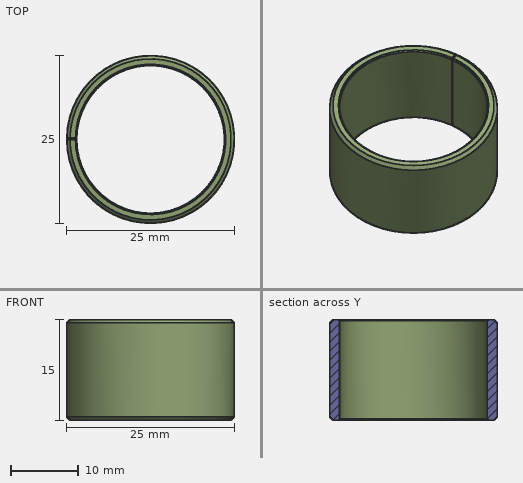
import cadquery as cq

outer_diameter = 25.0
wall = 1.5
length = 15.0
outer_chamfer = 0.5
inner_chamfer = 0.2
slit_width = 0.2

outer_radius = outer_diameter / 2
inner_radius = outer_radius - wall


def bush_body():
    """Ring with chamfered outer and inner rims at both ends, centred on the origin."""
    half_length = length / 2
    profile = [
        (inner_radius, half_length - inner_chamfer),
        (inner_radius + inner_chamfer, half_length),
        (outer_radius - outer_chamfer, half_length),
        (outer_radius, half_length - outer_chamfer),
        (outer_radius, -half_length + outer_chamfer),
        (outer_radius - outer_chamfer, -half_length),
        (inner_radius + inner_chamfer, -half_length),
        (inner_radius, -half_length + inner_chamfer),
    ]
    ring = cq.Workplane("XZ").polyline(profile).close().revolve(360, (0, 0), (0, 1))
    return ring.rotate((0, 0, 0), (0, 0, 1), 180)


def slit_cutter():
    """Thin full-length slab on the -X side, with one face on the XZ plane and the other towards +Y."""
    slab = cq.Workplane("XY").box(outer_diameter, slit_width, length)
    return slab.translate((-outer_radius, slit_width / 2, 0))


result = bush_body().cut(slit_cutter())